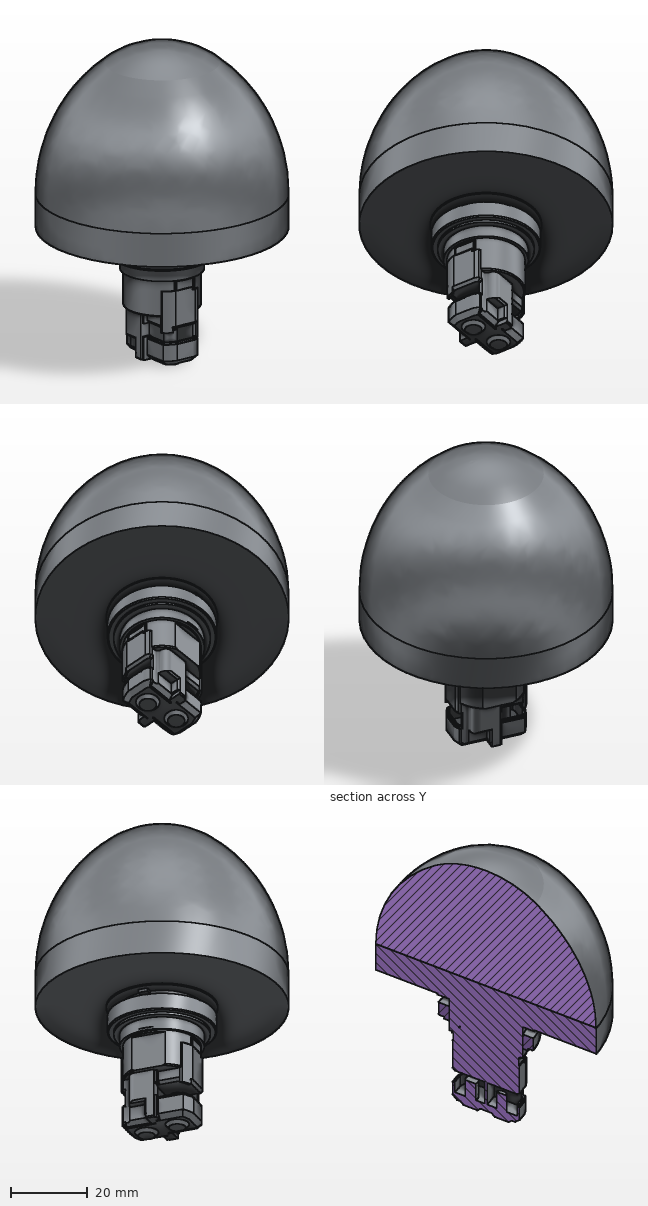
import cadquery as cq
import math


HEAD_RADIUS = 33.0
TOP_Z = 85.9
DOME_BASE_Z = 45.0
HEAD_BOTTOM_Z = 35.9
CAP_RADIUS = 15.0
CAP_HEIGHT = 4.9
SEAL_RADIUS = 14.5
SEAL_HEIGHT = 0.4

TAB_WIDTH = 2.6
TAB_REACH = 12.9
TAB_HEIGHT = 0.9

THREAD_RADIUS = 11.0
THREAD_BOTTOM_Z = 24.5
THREAD_FLAT_Y = 10.8
THREAD_FLAT_BOTTOM_Z = 25.2

NUT_RADIUS = 28.4 / 2
NUT_TOP_Z = 33.1
NUT_BOTTOM_Z = 28.5
NUT_CHAMFER = 0.35
NUT_COLLAR_RADIUS = 25.2 / 2
NUT_COLLAR_HEIGHT = 0.7

BARREL_RADIUS = 20.4 / 2
BARREL_BOTTOM_Z = 14.4
BARREL_CHAMFER = 0.35
BARREL_COLLAR_HEIGHT = 0.5
BARREL_FLAT_Y = 9.0
SIDE_FLAT_X = 9.8
SIDE_GROOVE_OUTER_Y = 3.3
SIDE_GROOVE_WIDTH = 0.5
SIDE_GROOVE_X = 9.45

CORE_BOTTOM_Z = 0.95
CORE_CHAMFER = 0.35
CORE_HALF_DEPTH = 7.65
CORE_HALF_WIDTH = 8.4
BLOCK_EDGE_X = 0.9
BLOCK_INNER_Y = 4.8
WEB_HALF_THICKNESS = 0.4
WALL_OUTER_Y = 4.6
WALL_THICKNESS = 1.0
BULGE_RADIUS = 2.15
ROOT_WIDTH = 1.5
ROOT_Y = 7.05

RECESS_EDGE_X = 1.4
RECESS_TOP_Z = 6.6
RECESS_BACK_Y = 5.0
RECESS_CHAMFER = 0.5

SIDE_LIMIT_X = 10.05
SIDE_LONG_Y = 6.0
SIDE_BEVEL_X = 1.1
SIDE_BEVEL_Y = 0.4
CHEEK_RADIUS = 10.6
CHEEK_TOP_Z = 21.5
CHEEK_BOTTOM_Z = 11.0
CHEEK_CHAMFER = 0.8
CHEEK_STEP_Y = 2.4
CHEEK_STEP_HEIGHT = 0.8
LEG_BOTTOM_Z = 10.1
LEG_OUTER_Y = 6.4
LEG_INNER_RADIUS = 10.0
LEG_INNER_Y = 3.9
CUP_RADIUS = 10.4
CUP_TOP_Z = 7.3
CUP_FLOOR_Z = 3.5
CUP_WALL = 0.9
CUP_RIM_INSET = 0.35
CUP_RIM_HEIGHT = 0.5
CUP_BASE_CHAMFER = 1.4

SCREW_X = 4.6
SCREW_Y = -0.8
POST_DIAMETER = 3.5
POST_TOP_Z = 9.3
TIP_TOP_RADIUS = 3.1
TIP_BOTTOM_RADIUS = 2.2


def box(x_min, x_max, y_min, y_max, z_min, z_max):
    """Box given by its limits along each axis."""
    size = (x_max - x_min, y_max - y_min, z_max - z_min)
    return cq.Workplane("XY").box(*size, centered=False).translate((x_min, y_min, z_min))


def disc(radius, z_min, z_max):
    """Cylinder on the stem axis."""
    return cq.Workplane("XY").workplane(offset=z_min).circle(radius).extrude(z_max - z_min)


def half_turn(shape):
    return shape.rotate((0, 0, 0), (0, 0, 1), 180)


def make_dome():
    """Lens whose side arc leaves the rim upright and meets a shallower spherical cap."""
    side_rise = TOP_Z - CAP_HEIGHT - DOME_BASE_Z
    inset = HEAD_RADIUS - CAP_RADIUS
    side_radius = (inset**2 + side_rise**2) / (2 * inset)
    side_angle = math.asin(side_rise / side_radius) / 2
    side_mid = (
        HEAD_RADIUS - side_radius * (1 - math.cos(side_angle)),
        DOME_BASE_Z + side_radius * math.sin(side_angle),
    )
    cap_sphere = (CAP_RADIUS**2 + CAP_HEIGHT**2) / (2 * CAP_HEIGHT)
    cap_angle = math.asin(CAP_RADIUS / cap_sphere) / 2
    cap_mid = (
        cap_sphere * math.sin(cap_angle),
        TOP_Z - cap_sphere * (1 - math.cos(cap_angle)),
    )
    return (
        cq.Workplane("XZ")
        .moveTo(0, DOME_BASE_Z)
        .lineTo(HEAD_RADIUS, DOME_BASE_Z)
        .threePointArc(side_mid, (CAP_RADIUS, TOP_Z - CAP_HEIGHT))
        .threePointArc(cap_mid, (0, TOP_Z))
        .close()
        .revolve(360, (0, 0, 0), (0, 1, 0))
    )


def make_nut():
    """Round nut with a narrower collar under it, bored to the thread."""
    ring = disc(NUT_RADIUS, NUT_BOTTOM_Z, NUT_TOP_Z).faces("<Z").chamfer(NUT_CHAMFER)
    collar_bottom = NUT_BOTTOM_Z - NUT_COLLAR_HEIGHT
    collar = disc(NUT_COLLAR_RADIUS, collar_bottom, NUT_BOTTOM_Z)
    return ring.union(collar).cut(disc(THREAD_RADIUS, collar_bottom, NUT_TOP_Z))


def make_head_base():
    """Head base with its seal ring and the locating tab."""
    seal_bottom = HEAD_BOTTOM_Z - SEAL_HEIGHT
    base = disc(HEAD_RADIUS, HEAD_BOTTOM_Z, DOME_BASE_Z)
    seal = disc(SEAL_RADIUS, seal_bottom, HEAD_BOTTOM_Z)
    tab = box(-TAB_WIDTH / 2, TAB_WIDTH / 2, 0, TAB_REACH, seal_bottom - TAB_HEIGHT, seal_bottom)
    return base.union(seal).union(tab)


def make_thread():
    """Threaded length with a flat along its +Y side."""
    thread_top = HEAD_BOTTOM_Z - SEAL_HEIGHT
    thread = disc(THREAD_RADIUS, THREAD_BOTTOM_Z, thread_top)
    flat = box(
        -THREAD_RADIUS, THREAD_RADIUS, THREAD_FLAT_Y, THREAD_RADIUS, THREAD_FLAT_BOTTOM_Z, thread_top
    )
    return thread.cut(flat)


def make_barrel():
    """Barrel with a +Y flat and, on each X side, a narrow flat between two grooves."""
    barrel = disc(BARREL_RADIUS, BARREL_BOTTOM_Z, THREAD_BOTTOM_Z).faces("<Z").chamfer(BARREL_CHAMFER)
    flat_top = THREAD_BOTTOM_Z - BARREL_COLLAR_HEIGHT
    reach = BARREL_RADIUS
    barrel = barrel.cut(box(-reach, reach, BARREL_FLAT_Y, reach, BARREL_BOTTOM_Z, flat_top))
    groove_inner_y = SIDE_GROOVE_OUTER_Y - SIDE_GROOVE_WIDTH
    side_cut = box(
        SIDE_FLAT_X, reach, -groove_inner_y, groove_inner_y, BARREL_BOTTOM_Z, flat_top
    )
    for groove_y in (-SIDE_GROOVE_OUTER_Y, groove_inner_y):
        groove = box(
            SIDE_GROOVE_X, reach, groove_y, groove_y + SIDE_GROOVE_WIDTH, BARREL_BOTTOM_Z, flat_top
        )
        side_cut = side_cut.union(groove)
    return barrel.cut(side_cut).cut(half_turn(side_cut))


def make_core():
    """Two opposite blocks joined by a thin web, each with a bulged end and a thin side wall."""
    wall_inner_y = WALL_OUTER_Y - WALL_THICKNESS
    bulge_center_y = CORE_HALF_DEPTH - BULGE_RADIUS
    bulge_end_x = SCREW_X + BULGE_RADIUS
    fillet_radius = bulge_center_y - WALL_OUTER_Y
    diagonal = math.sqrt(0.5)
    bulge_mid = (SCREW_X + BULGE_RADIUS * diagonal, bulge_center_y + BULGE_RADIUS * diagonal)
    fillet_mid = (
        bulge_end_x + fillet_radius * (1 - diagonal),
        bulge_center_y - fillet_radius * diagonal,
    )
    outline = cq.Workplane("XY").workplane(offset=CORE_BOTTOM_Z).moveTo(-BLOCK_EDGE_X, CORE_HALF_DEPTH)

    def turned(point, turn):
        """The point itself for turn 1, or half a turn about Z for turn -1."""
        x, y = point
        return (turn * x, turn * y)

    for turn in (1, -1):
        outline = (
            outline.lineTo(*turned((SCREW_X, CORE_HALF_DEPTH), turn))
            .threePointArc(turned(bulge_mid, turn), turned((bulge_end_x, bulge_center_y), turn))
            .threePointArc(
                turned(fillet_mid, turn), turned((bulge_end_x + fillet_radius, WALL_OUTER_Y), turn)
            )
            .lineTo(*turned((CORE_HALF_WIDTH, WALL_OUTER_Y), turn))
            .lineTo(*turned((CORE_HALF_WIDTH, wall_inner_y), turn))
            .lineTo(*turned((WEB_HALF_THICKNESS, wall_inner_y), turn))
            .lineTo(*turned((WEB_HALF_THICKNESS, -BLOCK_INNER_Y), turn))
            .lineTo(*turned((BLOCK_EDGE_X, -BLOCK_INNER_Y), turn))
        )
        if turn == 1:
            outline = outline.lineTo(BLOCK_EDGE_X, -CORE_HALF_DEPTH)
    core = outline.close().extrude(BARREL_BOTTOM_Z - CORE_BOTTOM_Z)
    return core.faces("<Z").edges("<Y or >Y").chamfer(CORE_CHAMFER)


def make_block_recess():
    """Cutter for the +Y block's lower recess, flared where it opens on the block's face."""
    recess = box(
        RECESS_EDGE_X + RECESS_CHAMFER, CORE_HALF_WIDTH, RECESS_BACK_Y, CORE_HALF_DEPTH,
        0, RECESS_TOP_Z - RECESS_CHAMFER,
    )
    flare = (
        box(
            RECESS_EDGE_X, CORE_HALF_WIDTH, CORE_HALF_DEPTH - RECESS_CHAMFER,
            CORE_HALF_DEPTH + RECESS_CHAMFER, 0, RECESS_TOP_Z,
        )
        .faces("<Y").edges("<X or >Z").chamfer(RECESS_CHAMFER)
    )
    return recess.union(flare)


def side_prism(radius, z_min, z_max, margin=0.0, base_chamfer=0.0, y_max=WALL_OUTER_Y):
    """Side shape: a disc trimmed by a box, both shrunk by the margin and chamfered at the bottom."""
    round_part = disc(radius - margin, z_min, z_max)
    limits = box(-SIDE_LIMIT_X, SIDE_LIMIT_X - margin, margin - SIDE_LONG_Y, y_max - margin, z_min, z_max)
    if base_chamfer:
        round_part = round_part.faces("<Z").chamfer(base_chamfer)
        limits = limits.faces("<Z").chamfer(base_chamfer)
    bevel = (
        cq.Workplane("XY")
        .workplane(offset=z_min)
        .moveTo(SIDE_LIMIT_X - margin, y_max - margin)
        .line(-SIDE_BEVEL_X, 0)
        .line(SIDE_BEVEL_X, -SIDE_BEVEL_Y)
        .close()
        .extrude(z_max - z_min)
    )
    return round_part.intersect(limits).cut(bevel)


def plus_x_half(shape):
    """Part of a shape that lies on the +X side of the web's middle plane."""
    return shape.intersect(box(0, HEAD_RADIUS, -HEAD_RADIUS, HEAD_RADIUS, 0, TOP_Z))


def make_root(z_min, z_max):
    """Step in the corner between a core block and the cheek or cup beside it."""
    return box(0, ROOT_WIDTH, -ROOT_Y, -BLOCK_INNER_Y, z_min, z_max)


def make_cheek():
    """Cheek beside the barrel, with a stepped top and a thin leg along its -Y end."""
    cheek = side_prism(CHEEK_RADIUS, CHEEK_BOTTOM_Z, CHEEK_TOP_Z, base_chamfer=CHEEK_CHAMFER)
    step = box(
        0, SIDE_LIMIT_X, CHEEK_STEP_Y, WALL_OUTER_Y, CHEEK_TOP_Z - CHEEK_STEP_HEIGHT, CHEEK_TOP_Z
    )
    leg = (
        disc(CHEEK_RADIUS, LEG_BOTTOM_Z, CHEEK_TOP_Z)
        .cut(disc(LEG_INNER_RADIUS, LEG_BOTTOM_Z, CHEEK_TOP_Z))
        .intersect(box(0, SIDE_LIMIT_X, -LEG_OUTER_Y, -LEG_INNER_Y, LEG_BOTTOM_Z, CHEEK_TOP_Z))
    )
    cheek = plus_x_half(cheek.cut(step).union(leg))
    return cheek.union(make_root(CHEEK_BOTTOM_Z, BARREL_BOTTOM_Z))


def make_cup():
    """Open terminal cup with a chamfered base and a rim set in from its outer wall."""
    ledge_z = CUP_TOP_Z - CUP_RIM_HEIGHT
    cup = side_prism(CUP_RADIUS, CORE_BOTTOM_Z, ledge_z, base_chamfer=CUP_BASE_CHAMFER)
    rim = side_prism(CUP_RADIUS, ledge_z, CUP_TOP_Z, margin=CUP_RIM_INSET)
    cavity = side_prism(CUP_RADIUS, CUP_FLOOR_Z, CUP_TOP_Z, margin=CUP_WALL)
    return plus_x_half(cup.union(rim).cut(cavity)).union(make_root(CORE_BOTTOM_Z, CUP_TOP_Z))


def make_base_trim():
    """Cutter that carries the cup's base chamfer across the core wall beside it."""
    chamfer_top = CORE_BOTTOM_Z + CUP_BASE_CHAMFER
    around = box(RECESS_EDGE_X, SIDE_LIMIT_X, 0, CORE_HALF_DEPTH, CORE_BOTTOM_Z, chamfer_top)
    envelope = side_prism(
        CUP_RADIUS, CORE_BOTTOM_Z, CUP_TOP_Z, base_chamfer=CUP_BASE_CHAMFER, y_max=RECESS_BACK_Y
    )
    return around.cut(envelope)


def make_screw():
    """Round post standing in the cup and the tapered tip below it."""
    center = cq.Workplane("XY").center(SCREW_X, SCREW_Y)
    post = (
        center.workplane(offset=CORE_BOTTOM_Z)
        .circle(POST_DIAMETER / 2)
        .extrude(POST_TOP_Z - CORE_BOTTOM_Z)
    )
    tip = (
        center.circle(TIP_BOTTOM_RADIUS)
        .workplane(offset=CORE_BOTTOM_Z)
        .circle(TIP_TOP_RADIUS)
        .loft()
    )
    return post.union(tip)


def make_body():
    """Head base, stem and contact carrier in one piece."""
    body = make_head_base().union(make_thread()).union(make_barrel())
    core = make_core()
    for cutter in (make_block_recess(), make_base_trim()):
        core = core.cut(cutter).cut(half_turn(cutter))
    body = body.union(core)
    for feature in (make_cheek(), make_cup(), make_screw()):
        body = body.union(feature).union(half_turn(feature))
    return body


dome = make_dome()
body = make_body()
nut = make_nut()

result = cq.Compound.makeCompound([dome.val(), body.val(), nut.val()])